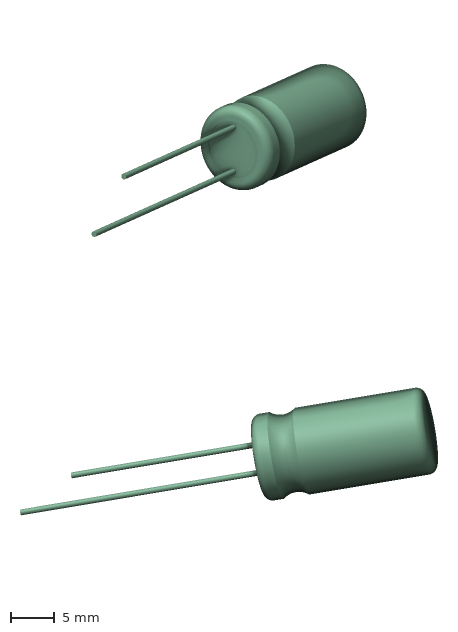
import cadquery as cq

can_diameter = 10.0
can_length = 20.05
edge_radius = 1.0

groove_start = 2.1
groove_width = 3.0
groove_depth = 0.52

recess_radius = 3.4
recess_depth = 0.1

overall_length = 47.7
lead_diameter = 0.65
lead_pitch = 5.3
long_lead = overall_length - can_length
short_lead = 21.75

can_radius = can_diameter / 2
face_radius = can_radius - edge_radius


def make_can():
    """Revolve the half profile, drawn as (radius, Y), about the Y axis."""
    groove_end = groove_start + groove_width
    groove_middle = groove_start + groove_width / 2
    profile = (
        cq.Workplane("XY")
        .lineTo(face_radius, 0)
        .tangentArcPoint((can_radius, edge_radius), relative=False)
        .lineTo(can_radius, groove_start)
        .threePointArc((can_radius - groove_depth, groove_middle), (can_radius, groove_end))
        .lineTo(can_radius, can_length - edge_radius)
        .tangentArcPoint((face_radius, can_length), relative=False)
        .lineTo(0, can_length)
        .close()
    )
    return profile.revolve(360, (0, 0, 0), (0, 1, 0))


def recess_lead_face(body):
    """Sink the middle of the lead face into the can."""
    disc = cq.Workplane("XZ").circle(recess_radius).extrude(-recess_depth)
    return body.cut(disc)


def make_lead(height, length):
    """Round wire at the given Z, from the recess floor to the given distance in front of Y = 0."""
    return (
        cq.Workplane("XZ", origin=(0, recess_depth, height))
        .circle(lead_diameter / 2)
        .extrude(recess_depth + length)
    )


can = recess_lead_face(make_can())
upper_lead = make_lead(lead_pitch / 2, short_lead)
lower_lead = make_lead(-lead_pitch / 2, long_lead)

result = can.union(upper_lead).union(lower_lead)